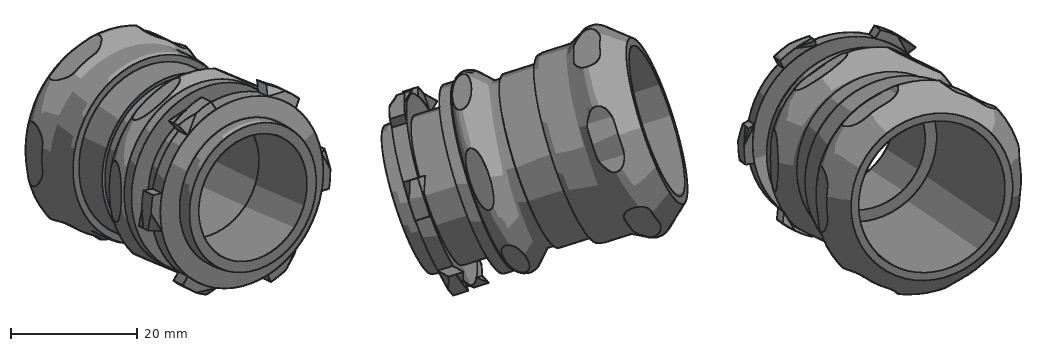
import cadquery as cq
import math


length = 41.95
nut_crown_start = 3.78
nut_crown_peak = 5.45
nut_crown_end = 6.9
nut_cone_end = 9.25
nut_chamfer_start = 14.05
nut_end = 14.95
barrel_end = 21.23
collar_cone_start = 23.25
collar_cone_angle = 45.0
collar_crown_start = 25.55
collar_crown_peak = 27.05
collar_crown_end = 28.85
flange_start = 28.95
flange_end = 30.9
thread_chamfer = 0.92
thread_chamfer_start = length - thread_chamfer

nut_face_radius = 13.8
nut_crown_start_radius = 16.95
nut_crown_radius = 35.2 / 2
nut_crown_end_radius = 17.1
nut_radius = 31.7 / 2
nut_end_radius = 15.65
barrel_radius = 29.0 / 2
neck_radius = 27.9 / 2
collar_cone_rise = (collar_crown_start - collar_cone_start) * math.tan(math.radians(collar_cone_angle))
collar_crown_start_radius = neck_radius + collar_cone_rise
collar_crown_radius = 16.82
collar_crown_end_radius = 15.5
flange_radius = 31.5 / 2
thread_radius = 25.0 / 2
thread_end_radius = 12.38
bore_radius = 21.1 / 2
socket_radius = 25.0 / 2
socket_depth = flange_start

nut_blend_radius = 0.5
collar_blend_radius = 0.85

repeat_count = 6
repeat_pitch = 360 / repeat_count
pocket_floor_radius = 16.6
pocket_floor_half_angle = 7.5
pocket_flare_radius = 7.75
collar_flat_distance = 16.02
cutter_radius = 18.88

locknut_thickness = 2.55
locknut_radius = 15.9
locknut_hub_radius = 12.8
lug_radius = 35.0 / 2
lug_half_width = 3.2
lug_tip_bend = 1.25
dish_slope = 0.14
locknut_rim_back = 38.97
lug_blank_height = 18.45


def cone_to_cylinder_blend(corner, cone_angle, direction, radius):
    """Start on the cylinder, middle and end on the cone of a blend arc; direction points up the cone."""
    turn = math.radians(cone_angle)
    tangent_length = radius * math.tan(turn / 2)
    start_x = corner[0] - direction * tangent_length
    center_radius = corner[1] + radius

    def arc_point(angle):
        return (start_x + direction * radius * math.sin(angle), center_radius - radius * math.cos(angle))

    return arc_point(0), arc_point(turn / 2), arc_point(turn)


def make_body():
    """Revolved outside of nut, barrel, collar, flange and threaded end, with the stepped bore."""
    nut_cone_angle = math.degrees(
        math.atan2(nut_crown_end_radius - nut_radius, nut_cone_end - nut_crown_end)
    )
    nut_blend = cone_to_cylinder_blend((nut_cone_end, nut_radius), nut_cone_angle, -1, nut_blend_radius)
    collar_blend = cone_to_cylinder_blend(
        (collar_cone_start, neck_radius), collar_cone_angle, 1, collar_blend_radius
    )
    outline = (
        cq.Workplane("XY")
        .moveTo(0, 0)
        .lineTo(0, nut_face_radius)
        .lineTo(nut_crown_start, nut_crown_start_radius)
        .threePointArc((nut_crown_peak, nut_crown_radius), (nut_crown_end, nut_crown_end_radius))
        .lineTo(*nut_blend[2])
        .threePointArc(nut_blend[1], nut_blend[0])
        .lineTo(nut_chamfer_start, nut_radius)
        .lineTo(nut_end, nut_end_radius)
        .lineTo(nut_end, barrel_radius)
        .lineTo(barrel_end, barrel_radius)
        .lineTo(barrel_end, neck_radius)
        .lineTo(*collar_blend[0])
        .threePointArc(collar_blend[1], collar_blend[2])
        .lineTo(collar_crown_start, collar_crown_start_radius)
        .threePointArc(
            (collar_crown_peak, collar_crown_radius),
            (collar_crown_end, collar_crown_end_radius),
        )
        .lineTo(flange_start, collar_crown_end_radius)
        .lineTo(flange_start, flange_radius)
        .lineTo(flange_end, flange_radius)
        .lineTo(flange_end, thread_radius)
        .lineTo(thread_chamfer_start, thread_radius)
        .lineTo(length, thread_end_radius)
        .lineTo(length, 0)
        .close()
    )
    body = outline.revolve(360, (0, 0, 0), (1, 0, 0))
    bore = cq.Workplane("YZ").circle(bore_radius).extrude(length)
    socket = cq.Workplane("YZ").circle(socket_radius).extrude(socket_depth)
    return body.cut(bore).cut(socket)


def around_axis(shape):
    """Evenly spaced copies of a shape around the X axis."""
    return [shape.rotate((0, 0, 0), (1, 0, 0), i * repeat_pitch) for i in range(repeat_count)]


def nut_pocket_cutter():
    """Pocket on the +Y side: a floor round the axis, with a concave flare at both ends."""
    tilt = math.radians(pocket_floor_half_angle)
    flare_center_y = (pocket_floor_radius + pocket_flare_radius) * math.cos(tilt)
    flare_center_z = (pocket_floor_radius + pocket_flare_radius) * math.sin(tilt)
    floor_y = pocket_floor_radius * math.cos(tilt)
    floor_z = pocket_floor_radius * math.sin(tilt)

    def flare_point(angle):
        return (
            flare_center_y - pocket_flare_radius * math.cos(angle),
            flare_center_z + pocket_flare_radius * math.sin(angle),
        )

    flare_end_angle = math.acos((flare_center_y - cutter_radius) / pocket_flare_radius)
    end_y, end_z = flare_point(flare_end_angle)
    middle_y, middle_z = flare_point((flare_end_angle - tilt) / 2)
    return (
        cq.Workplane("YZ")
        .moveTo(end_y, -end_z)
        .threePointArc((middle_y, -middle_z), (floor_y, -floor_z))
        .threePointArc((pocket_floor_radius, 0), (floor_y, floor_z))
        .threePointArc((middle_y, middle_z), (end_y, end_z))
        .close()
        .extrude(nut_cone_end)
    )


def collar_flat_cutter():
    """Plane flat on the +Y side of the collar crown."""
    return (
        cq.Workplane("YZ", origin=(collar_cone_start, 0, 0))
        .moveTo((collar_flat_distance + cutter_radius) / 2, 0)
        .rect(cutter_radius - collar_flat_distance, cutter_radius)
        .extrude(flange_start - collar_cone_start)
    )


def make_locknut_ring():
    """Ring dished towards -X at its rim, with a narrow flat at the back of the hub."""
    inner_radius = (bore_radius + thread_radius) / 2
    rim_front = locknut_rim_back - locknut_thickness
    inner_front = rim_front + dish_slope * (locknut_radius - inner_radius)
    hub_back = locknut_rim_back + dish_slope * (locknut_radius - locknut_hub_radius)
    return (
        cq.Workplane("XY")
        .moveTo(hub_back, inner_radius)
        .lineTo(hub_back, locknut_hub_radius)
        .lineTo(locknut_rim_back, locknut_radius)
        .lineTo(rim_front, locknut_radius)
        .lineTo(inner_front, inner_radius)
        .close()
        .revolve(360, (0, 0, 0), (1, 0, 0))
    )


def tetrahedron(corners):
    """Solid with four triangular faces between four corners."""
    faces = []
    for left_out in corners:
        triangle = [corner for corner in corners if corner is not left_out]
        faces.append(cq.Face.makeFromWires(cq.Wire.makePolygon(triangle, close=True)))
    return cq.Workplane(cq.Solid.makeSolid(cq.Shell.makeShell(faces)))


def make_lug():
    """Lug on the -Y side with its lower outer corner bent towards -X along a diagonal crease."""
    root_height = math.sqrt(locknut_radius**2 - lug_half_width**2)
    tip_height = math.sqrt(lug_radius**2 - lug_half_width**2)
    crease_slope = (lug_radius - root_height) / lug_half_width
    crease_top_z = (lug_blank_height - lug_radius) / crease_slope
    bend_per_height = lug_tip_bend / (tip_height - root_height)
    to_front = cq.Vector(-locknut_thickness, 0, 0)

    def back_point(z, height, bend=0):
        lean = dish_slope * (height - root_height)
        return cq.Vector(locknut_rim_back - lean - bend, -height, z)

    blank_outline = [
        back_point(-lug_half_width, thread_radius),
        back_point(-lug_half_width, lug_blank_height),
        back_point(lug_half_width, lug_blank_height),
        back_point(lug_half_width, thread_radius),
    ]
    blank_wire = cq.Wire.makePolygon(blank_outline, close=True)
    blank = cq.Workplane(cq.Solid.extrudeLinear(blank_wire, [], to_front))
    rim_band = cq.Workplane("YZ").circle(lug_radius).circle(locknut_radius).extrude(length)

    crease_root = back_point(-lug_half_width, root_height)
    blank_bend = bend_per_height * (lug_blank_height - root_height)
    hollow = tetrahedron(
        [
            crease_root,
            back_point(crease_top_z, lug_blank_height),
            back_point(-lug_half_width, lug_blank_height),
            back_point(-lug_half_width, lug_blank_height, blank_bend),
        ]
    )

    tooth = tetrahedron(
        [
            crease_root + to_front,
            back_point(0, lug_radius) + to_front,
            back_point(-lug_half_width, tip_height) + to_front,
            back_point(-lug_half_width, tip_height, lug_tip_bend) + to_front,
        ]
    )
    return blank.intersect(rim_band).cut(hollow).union(tooth)


result = make_body()
for cutter in around_axis(nut_pocket_cutter()) + around_axis(collar_flat_cutter()):
    result = result.cut(cutter)

result = result.union(make_locknut_ring())
for lug in around_axis(make_lug()):
    result = result.union(lug)